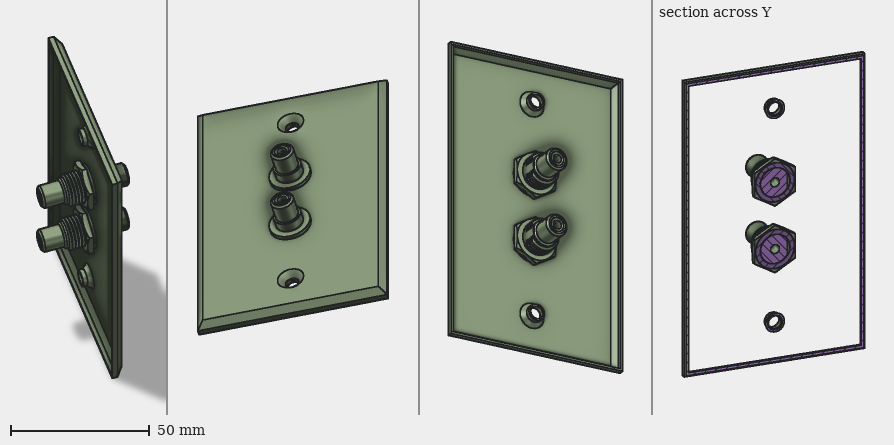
import cadquery as cq
import math


plate_width = 70.5
plate_height = 114.91
plate_depth = 4.5
plate_bevel = 2.5
plate_wall = 0.9
floor_y = plate_depth - plate_wall

screw_spacing = 83.3
dimple_base_radius = 4.9
dimple_tip_radius = 3.2
dimple_height = 3.5
dimple_cone_height = 1.8
screw_hole_radius = 2.45
screw_hole_length = 2.0
countersink_angle = 90.0

jack_spacing = 26.0
jack_length = 33.02
jack_front_y = -15.5
jack_back_y = jack_front_y + jack_length
barrel_radius = 4.25
barrel_chamfer = 0.8
collar_radius = 5.1
collar_length = 3.75
flange_radius = 7.65
flange_thickness = 1.5
bore_radius = 1.65
socket_radius = 2.65
socket_depth = 0.2

thread_radius = 6.2
thread_root_radius = 5.1
thread_pitch = 1.22
thread_front_y = -5.8
thread_end_y = -6.7
thread_nose_y = -7.4
thread_flat_distance = 4.8
shank_radius = 5.8

washer_radius = 7.65
washer_thickness = 1.2
nut_across_flats = 16.0
nut_back_y = floor_y - washer_thickness
nut_front_y = 0.0
nut_thickness = nut_back_y - nut_front_y
nut_chamfer_angle = 30.0

jack_heights = (-jack_spacing / 2, jack_spacing / 2)
screw_heights = (-screw_spacing / 2, screw_spacing / 2)


def disc(radius, front_y, back_y, z=0.0):
    """Cylinder about a Y axis at height z, between two Y planes."""
    return cq.Workplane("XZ", origin=(0, back_y, 0)).center(0, z).circle(radius).extrude(back_y - front_y)


def revolved(points):
    """Solid turned about the Y axis from a closed outline of (radius, y) points."""
    return cq.Workplane("XY").polyline(points).close().revolve(360, (0, 0, 0), (0, 1, 0))


def cone(front_radius, back_radius, front_y, back_y, z):
    """Cone or cone frustum about a Y axis at height z."""
    outline = [(0, front_y), (front_radius, front_y), (back_radius, back_y), (0, back_y)]
    return revolved(outline).translate((0, 0, z))


def bevelled_block(width, height, depth, bevel):
    """Block from Y = 0 with its back edges bevelled at 45 degrees."""
    block = cq.Workplane("XZ").rect(width, height).extrude(-depth)
    return block.faces(">Y").chamfer(bevel)


def add_screw_dimple(plate, z):
    """Plate with a raised cone and neck on its inner face, countersunk from the outer face."""
    tip_y = floor_y - dimple_height
    neck_y = floor_y - dimple_cone_height
    sink_y = tip_y + screw_hole_length
    sink_growth = (plate_depth - sink_y) * math.tan(math.radians(countersink_angle / 2))
    sink_radius = screw_hole_radius + sink_growth

    plate = plate.union(cone(dimple_tip_radius, dimple_base_radius, neck_y, floor_y, z))
    plate = plate.union(disc(dimple_tip_radius, tip_y, neck_y, z))
    plate = plate.cut(disc(screw_hole_radius, tip_y, plate_depth, z))
    return plate.cut(cone(screw_hole_radius, sink_radius, sink_y, plate_depth, z))


def make_plate():
    outside = bevelled_block(plate_width, plate_height, plate_depth, plate_bevel)
    inner_bevel = plate_bevel - plate_wall * (2 - math.sqrt(2))
    inside = bevelled_block(
        plate_width - 2 * plate_wall, plate_height - 2 * plate_wall, floor_y, inner_bevel
    )
    plate = outside.cut(inside)
    for z in screw_heights:
        plate = add_screw_dimple(plate, z)
    for z in jack_heights:
        plate = plate.cut(disc(shank_radius, floor_y, plate_depth, z))
    return plate


def make_jack():
    flange_back_y = plate_depth + flange_thickness
    collar_back_y = flange_back_y + collar_length
    barrel_tip_radius = barrel_radius - barrel_chamfer

    front = [
        (bore_radius, jack_front_y + socket_depth),
        (socket_radius, jack_front_y + socket_depth),
        (socket_radius, jack_front_y),
        (barrel_tip_radius, jack_front_y),
        (barrel_radius, jack_front_y + barrel_chamfer),
        (barrel_radius, thread_nose_y),
        (thread_root_radius, thread_end_y),
    ]
    teeth = []
    tooth_count = math.ceil((nut_front_y - thread_front_y) / thread_pitch)
    for tooth in range(tooth_count):
        y = thread_front_y + tooth * thread_pitch
        teeth += [(thread_root_radius, y), (thread_radius, y + thread_pitch / 2)]
    back = [
        (shank_radius, nut_front_y),
        (shank_radius, plate_depth),
        (flange_radius, plate_depth),
        (flange_radius, flange_back_y),
        (collar_radius, flange_back_y),
        (collar_radius, collar_back_y),
        (barrel_radius, collar_back_y),
        (barrel_radius, jack_back_y - barrel_chamfer),
        (barrel_tip_radius, jack_back_y),
        (socket_radius, jack_back_y),
        (socket_radius, jack_back_y - socket_depth),
        (bore_radius, jack_back_y - socket_depth),
    ]
    jack = revolved(front + teeth + back)

    flat_length = plate_depth - thread_end_y
    cutter = cq.Workplane("XY").box(
        thread_radius, flat_length, 2 * thread_radius, centered=(False, False, True)
    )
    return jack.cut(cutter.translate((-thread_flat_distance - thread_radius, thread_end_y, 0)))


def make_washer():
    return disc(washer_radius, nut_back_y, floor_y).cut(disc(shank_radius, nut_back_y, floor_y))


def make_nut():
    across_corners = nut_across_flats / math.cos(math.radians(30))
    hexagon = (
        cq.Workplane("XZ", origin=(0, nut_back_y, 0))
        .transformed(rotate=(0, 0, 30))
        .polygon(6, across_corners)
        .extrude(nut_thickness)
    )
    face_radius = nut_across_flats / 2
    slope = math.tan(math.radians(nut_chamfer_angle))
    trim = cone(face_radius, face_radius + nut_thickness / slope, nut_front_y, nut_back_y, 0)
    return hexagon.intersect(trim).cut(disc(shank_radius, nut_front_y, nut_back_y))


bodies = [make_plate().val()]
for jack_z in jack_heights:
    for part in (make_jack(), make_washer(), make_nut()):
        bodies.append(part.translate((0, 0, jack_z)).val())

result = cq.Compound.makeCompound(bodies)